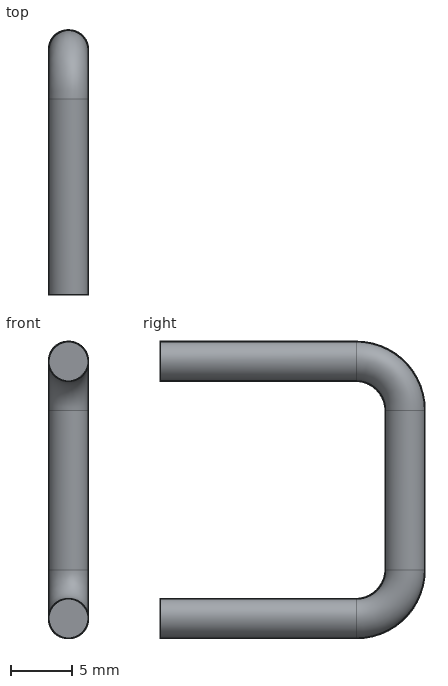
import cadquery as cq

bar_diameter = 3.25
overall_height = 24.25
overall_depth = 21.65
bend_radius = 4.0

bar_radius = bar_diameter / 2
leg_z = overall_height / 2 - bar_radius
grip_y = overall_depth - bar_radius
bend_start_y = grip_y - bend_radius
grip_half_length = leg_z - bend_radius

centreline = (
    cq.Workplane("YZ")
    .moveTo(0, -leg_z)
    .lineTo(bend_start_y, -leg_z)
    .tangentArcPoint((grip_y, -grip_half_length), relative=False)
    .lineTo(grip_y, grip_half_length)
    .tangentArcPoint((bend_start_y, leg_z), relative=False)
    .lineTo(0, leg_z)
)

result = (
    cq.Workplane("XZ")
    .center(0, -leg_z)
    .circle(bar_radius)
    .sweep(centreline)
)